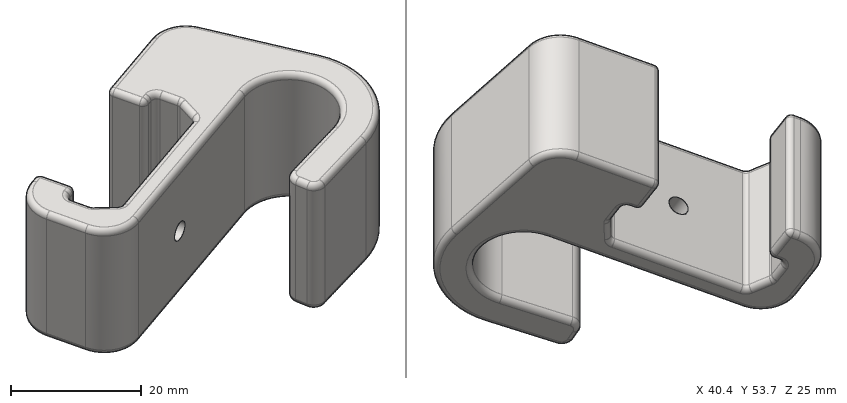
import cadquery as cq
import math

width = 40.37
length = 53.66
depth = 25.0

hook_thickness = 6.0
hook_outer_radius = 13.8
hook_inner_radius = hook_outer_radius - hook_thickness
hook_x = width - hook_outer_radius
hook_y = length - hook_outer_radius
arm_lean = math.radians(3.0)
arm_length = 14.0
arm_end_radius = 2.0

spine_x = hook_x - hook_inner_radius
body_corner_radius = 6.0
top_slope = math.radians(9.0)

slot_y = 19.16
slot_height = 27.9
mouth_height = 22.2
lip_depth = 6.67
slot_floor_x = 14.9
slot_bevel_width = 3.88
slot_bevel_angle = math.radians(30.0)
slot_bevel_height = slot_bevel_width * math.tan(slot_bevel_angle)
small_radius = 1.0

hole_diameter = 3.3

rim_radius = 1.0


def hook_point(radius, angle, along_arm=0.0):
    """Point on a circle about the hook centre, optionally shifted down along the arm."""
    x = hook_x + radius * math.cos(angle) - along_arm * math.sin(arm_lean)
    y = hook_y + radius * math.sin(angle) - along_arm * math.cos(arm_lean)
    return (x, y)


top_tangent = hook_point(hook_outer_radius, math.pi / 2 + top_slope)
upper_left = (0.0, top_tangent[1] - top_tangent[0] * math.tan(top_slope))
lower_left = (0.0, 0.0)
lower_right = (spine_x, 0.0)
arm_end_inner = hook_point(hook_inner_radius, -arm_lean, arm_length)
arm_end_outer = hook_point(hook_outer_radius, -arm_lean, arm_length)


def slot_points(side):
    """Slot corners from mouth to floor; side is +1 for the upper half, -1 for the lower."""
    mouth_y = slot_y + side * mouth_height / 2
    wall_y = slot_y + side * slot_height / 2
    return [
        (0.0, mouth_y),
        (lip_depth, mouth_y),
        (lip_depth, wall_y),
        (slot_floor_x - slot_bevel_width, wall_y),
        (slot_floor_x, wall_y - side * slot_bevel_height),
    ]


def round_corner(solid, point, radius):
    """Round the upright edge that stands on the given profile corner."""
    edge = cq.selectors.NearestToPointSelector((point[0], point[1], depth / 2))
    return solid.edges("|Z").edges(edge).fillet(radius)


def make_profile():
    """Extrude the sharp-cornered outline of body, hook and clip slot."""
    outline = (
        cq.Workplane("XY")
        .moveTo(*lower_left)
        .lineTo(*lower_right)
        .lineTo(spine_x, hook_y)
        .threePointArc(
            hook_point(hook_inner_radius, math.pi / 2),
            hook_point(hook_inner_radius, -arm_lean),
        )
        .lineTo(*arm_end_inner)
        .lineTo(*arm_end_outer)
        .lineTo(*hook_point(hook_outer_radius, -arm_lean))
        .threePointArc(hook_point(hook_outer_radius, math.pi / 4), top_tangent)
        .lineTo(*upper_left)
    )
    for point in slot_points(1) + slot_points(-1)[::-1]:
        outline = outline.lineTo(*point)
    return outline.close().extrude(depth)


def round_profile(solid):
    """Round every upright corner of the profile."""
    for corner in (upper_left, lower_left, lower_right):
        solid = round_corner(solid, corner, body_corner_radius)
    for corner in (arm_end_inner, arm_end_outer):
        solid = round_corner(solid, corner, arm_end_radius)
    for corner in slot_points(1) + slot_points(-1):
        solid = round_corner(solid, corner, small_radius)
    return solid


def round_rims(solid):
    """Round the whole outline of the upper and lower faces."""
    return solid.faces("|Z").edges().fillet(rim_radius)


def drill_hole(solid):
    """Drill the screw hole through the spine, centred on the slot."""
    drill = (
        cq.Workplane("YZ")
        .center(slot_y, depth / 2)
        .circle(hole_diameter / 2)
        .extrude(width)
    )
    return solid.cut(drill)


result = drill_hole(round_rims(round_profile(make_profile())))